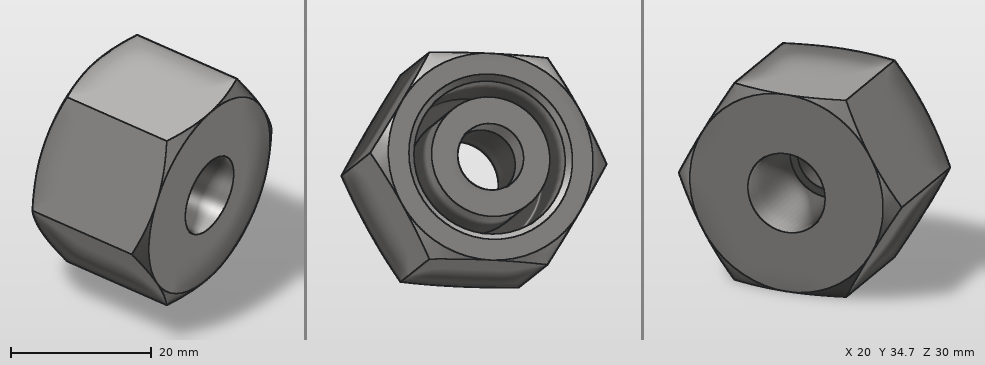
import cadquery as cq
import math

corner_diameter = 34.65
length = 20.0
corner_radius = corner_diameter / 2
flat_radius = corner_radius * math.cos(math.radians(30))
corner_chamfer_depth = (corner_radius - flat_radius) * math.tan(math.radians(30))

bore_radius = 4.8
bore_length = 5.0
rear_bore_radius = 6.0
hub_radius = 8.65
recess_radius = 11.1
recess_mouth_radius = 12.0
mouth_chamfer_depth = 0.7
recess_depth = 13.85
floor_fillet = 0.4


def hexagonal_prism():
    """Hexagon with corners on the Y axis, extruded along +X."""
    return cq.Workplane("YZ").polygon(6, corner_diameter).extrude(length)


def corner_chamfer_envelope():
    """Turned envelope that bevels the hexagon corners at both ends."""
    return (
        cq.Workplane("XY")
        .moveTo(0, 0)
        .lineTo(0, flat_radius)
        .lineTo(corner_chamfer_depth, corner_radius)
        .lineTo(length - corner_chamfer_depth, corner_radius)
        .lineTo(length, flat_radius)
        .lineTo(length, 0)
        .close()
        .revolve(360, (0, 0, 0), (1, 0, 0))
    )


def annular_recess():
    """Ring-shaped recess around the hub, with a beveled mouth and a rounded floor edge."""
    arc_inset = floor_fillet * (1 - math.sqrt(0.5))
    return (
        cq.Workplane("XY")
        .moveTo(0, hub_radius)
        .lineTo(0, recess_mouth_radius)
        .lineTo(mouth_chamfer_depth, recess_radius)
        .lineTo(recess_depth - floor_fillet, recess_radius)
        .threePointArc(
            (recess_depth - arc_inset, recess_radius - arc_inset),
            (recess_depth, recess_radius - floor_fillet),
        )
        .lineTo(recess_depth, hub_radius)
        .close()
        .revolve(360, (0, 0, 0), (1, 0, 0))
    )


def stepped_bore():
    """Narrow bore at the front of the hub, opening into a wider bore to the rear face."""
    front_bore = cq.Workplane("YZ").circle(bore_radius).extrude(bore_length)
    rear_bore = (
        cq.Workplane("YZ")
        .workplane(offset=bore_length)
        .circle(rear_bore_radius)
        .extrude(length - bore_length)
    )
    return front_bore.union(rear_bore)


result = (
    hexagonal_prism()
    .intersect(corner_chamfer_envelope())
    .cut(annular_recess())
    .cut(stepped_bore())
)